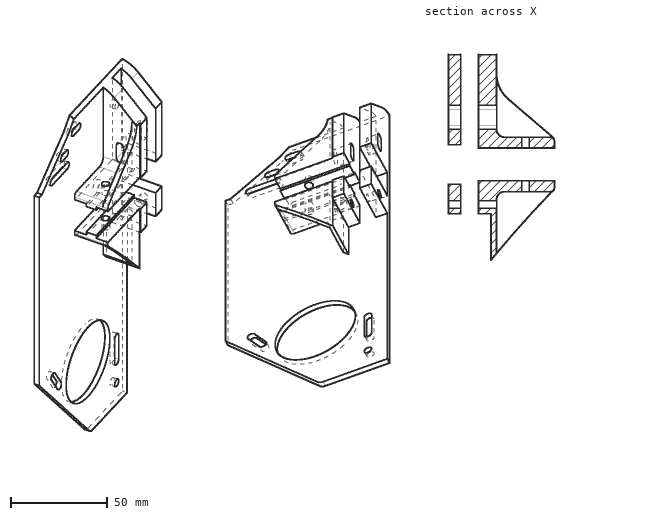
import cadquery as cq
import math


plate_thickness = 3.0
plate_depth = 91.84
plate_height = 218.47
top_edge_depth = 55.0
upper_kink_depth = 61.2
upper_kink_z = -6.8
nose_depth = 88.9
nose_z = -28.0
lower_slope_z = -151.7
bottom_edge_depth = 38.3
bottom_corner_radius = 4.0

screw_diameter = 4.2
pivot_diameter = 6.5
pivot_depth = 27.5
pivot_z = -64.5
port_diameter = 45.5
port_depth = 40.9
port_z = -170.6

rib_reach = 23.67
rib_width = 6.5
groove_width = 9.0
inner_rib_depth = rib_width + groove_width
groove_center_depth = rib_width + groove_width / 2
crown_radius = 18.2
crown_start_angle = 11.0
crown_end_angle = 45.0

screw_hole_levels = (-21.9, -204.6)
plate_slot_ends = (
    ((48.6, -9.5), (58.0, -9.5)),
    ((61.4, -18.5), (69.4, -18.5)),
    ((60.5, -27.0), (80.3, -27.0)),
    ((78.3, -153.9), (69.6, -168.0)),
    ((groove_center_depth, -172.6), (groove_center_depth, -192.5)),
)

bracket_reach = 23.0
cheek_thickness = 3.0
wall_back_depth = inner_rib_depth + rib_width
wall_thickness = 3.0
wall_front_depth = wall_back_depth + wall_thickness
shelf_thickness = 4.0
shelf_front_depth = 55.0
shelf_inner_radius = 4.0
shelf_nose_radius = 2.2

upper_shelf_bottom_z = -54.3
upper_cheek_root_z = -25.4
upper_cheek_root_radius = 17.0
upper_cheek_corner_z = -51.1
upper_cheek_corner_radius = 3.0

lower_shelf_top_z = -74.7
lower_rib_bottom_z = -90.2
lower_wall_front_bottom_z = -110.6
lower_wall_bottom_z = -114.2
lower_cheek_sag = 0.4
lower_cheek_start_angle = 60.0

fastener_x = (plate_thickness + bracket_reach) / 2
ridge_width = 6.0
ridge_height = 1.8
shelf_hole_depth = (wall_front_depth + shelf_front_depth) / 2
wall_slot_top_z = -33.7
wall_slot_bottom_z = -46.4
wall_hole_z = -85.3


def side_prism(points, start_x, end_x):
    """Extrude an outline of (depth, z) points along X."""
    outline = [(-depth, z) for depth, z in points]
    return cq.Workplane("YZ", origin=(start_x, 0, 0)).polyline(outline).close().extrude(end_x - start_x)


def plate_hole(diameter, depth, z):
    """Cutter for a round hole through the plate."""
    return cq.Workplane("YZ", origin=(0, -depth, z)).circle(diameter / 2).extrude(plate_thickness)


def plate_slot(first, second):
    """Cutter for a slot through the plate whose extreme ends are (depth, z) points."""
    run_y = first[0] - second[0]
    run_z = second[1] - first[1]
    middle = (0, -(first[0] + second[0]) / 2, (first[1] + second[1]) / 2)
    return (
        cq.Workplane("YZ", origin=middle)
        .slot2D(math.hypot(run_y, run_z), screw_diameter, math.degrees(math.atan2(run_z, run_y)))
        .extrude(plate_thickness)
    )


def make_plate():
    """Flat plate with its outline, holes and slots."""
    outline = [
        (0, 0),
        (top_edge_depth, 0),
        (upper_kink_depth, upper_kink_z),
        (nose_depth, nose_z),
        (plate_depth, nose_z),
        (plate_depth, lower_slope_z),
        (bottom_edge_depth, -plate_height),
        (0, -plate_height),
    ]
    plate = side_prism(outline, 0, plate_thickness)
    bottom_corner = cq.selectors.NearestToPointSelector(
        (plate_thickness / 2, -bottom_edge_depth, -plate_height)
    )
    plate = plate.edges("|X").edges(bottom_corner).fillet(bottom_corner_radius)

    plate = plate.cut(plate_hole(pivot_diameter, pivot_depth, pivot_z))
    plate = plate.cut(plate_hole(port_diameter, port_depth, port_z))
    for hole_z in screw_hole_levels:
        plate = plate.cut(plate_hole(screw_diameter, groove_center_depth, hole_z))
    for first, second in plate_slot_ends:
        plate = plate.cut(plate_slot(first, second))
    return plate


def crown_prism():
    """Envelope whose top rolls over in an arc from the plate's face into a straight slope."""

    def arc_point(degrees):
        start = math.radians(crown_start_angle)
        angle = math.radians(degrees)
        x = crown_radius * (math.sin(angle) - math.sin(start))
        z = crown_radius * (math.cos(angle) - math.cos(start))
        return x, z

    arc_middle = arc_point((crown_start_angle + crown_end_angle) / 2)
    arc_end_x, arc_end_z = arc_point(crown_end_angle)
    slope_end_z = arc_end_z - (rib_reach - arc_end_x) * math.tan(math.radians(crown_end_angle))
    return (
        cq.Workplane("XZ")
        .moveTo(0, 0)
        .threePointArc(arc_middle, (arc_end_x, arc_end_z))
        .lineTo(rib_reach, slope_end_z)
        .lineTo(rib_reach, -plate_height)
        .lineTo(0, -plate_height)
        .close()
        .extrude(plate_depth)
    )


def rib_pair(bottom_z, top_z):
    """Ribs of one bracket, standing on either side of the groove."""
    ribs = cq.Workplane("XY")
    for back_depth in (0, inner_rib_depth):
        corner = (0, -back_depth - rib_width, bottom_z)
        rib = cq.Workplane("XY", origin=corner).box(
            rib_reach, rib_width, top_z - bottom_z, centered=False
        )
        ribs = ribs.add(rib)
    return ribs.combine()


def round_shelf(bracket, inner_z):
    """Round the corner where wall meets shelf, and the front edge of the shelf.

    inner_z is the height of the shelf face on the wall's side.
    """
    inner_corner = cq.selectors.NearestToPointSelector((bracket_reach / 2, -wall_front_depth, inner_z))
    front_edge = cq.selectors.NearestToPointSelector((bracket_reach / 2, -shelf_front_depth, inner_z))
    bracket = bracket.edges("|X").edges(inner_corner).fillet(shelf_inner_radius)
    return bracket.edges("|X").edges(front_edge).fillet(shelf_nose_radius)


def make_ridge(bottom_z):
    """Ridge along the shelf, from the groove to the front edge."""
    return (
        cq.Workplane("XY", origin=(fastener_x - ridge_width / 2, -shelf_front_depth, bottom_z))
        .box(ridge_width, shelf_front_depth - inner_rib_depth, ridge_height, centered=False)
    )


def x_edge_near(depth, z):
    """Selector for the edge nearest to a corner on the middle plane of the cheeks."""
    return cq.selectors.NearestToPointSelector((bracket_reach - cheek_thickness / 2, -depth, z))


def make_upper_cheek():
    """Outer wall above the upper shelf, sweeping out of the back wall in a concave arc."""
    outline = [
        (wall_back_depth, 0),
        (wall_front_depth, 0),
        (wall_front_depth, upper_cheek_root_z),
        (shelf_front_depth, upper_cheek_corner_z),
        (shelf_front_depth, upper_shelf_bottom_z),
        (wall_back_depth, upper_shelf_bottom_z),
    ]
    cheek = side_prism(outline, bracket_reach - cheek_thickness, bracket_reach)
    root = x_edge_near(wall_front_depth, upper_cheek_root_z)
    corner = x_edge_near(shelf_front_depth, upper_cheek_corner_z)
    cheek = cheek.edges("|X").edges(root).fillet(upper_cheek_root_radius)
    return cheek.edges("|X").edges(corner).fillet(upper_cheek_corner_radius)


def make_lower_cheek():
    """Outer wall below the lower shelf, slightly hollow along its sloping edge."""
    nose_center_depth = shelf_front_depth - shelf_nose_radius
    nose_center_z = lower_shelf_top_z - shelf_thickness + shelf_nose_radius
    start_angle = math.radians(lower_cheek_start_angle)
    start_depth = nose_center_depth + shelf_nose_radius * math.cos(start_angle)
    start_z = nose_center_z - shelf_nose_radius * math.sin(start_angle)
    return (
        cq.Workplane("YZ", origin=(bracket_reach - cheek_thickness, 0, 0))
        .moveTo(-wall_back_depth, nose_center_z)
        .lineTo(-nose_center_depth, nose_center_z)
        .lineTo(-start_depth, start_z)
        .sagittaArc((-wall_front_depth, lower_wall_front_bottom_z), lower_cheek_sag)
        .lineTo(-wall_back_depth, lower_wall_bottom_z)
        .close()
        .extrude(cheek_thickness)
    )


def make_upper_bracket():
    """Wall, shelf, cheek, ribs and ridge; the top is trimmed later by the crown."""
    shelf_top_z = upper_shelf_bottom_z + shelf_thickness
    section = [
        (wall_back_depth, 0),
        (wall_front_depth, 0),
        (wall_front_depth, shelf_top_z),
        (shelf_front_depth, shelf_top_z),
        (shelf_front_depth, upper_shelf_bottom_z),
        (wall_back_depth, upper_shelf_bottom_z),
    ]
    bracket = round_shelf(side_prism(section, 0, bracket_reach), shelf_top_z)
    bracket = bracket.union(make_upper_cheek())
    bracket = bracket.union(rib_pair(upper_shelf_bottom_z, 0))
    return bracket.union(make_ridge(upper_shelf_bottom_z - ridge_height))


def make_lower_bracket():
    """Shelf facing the upper one, with wall, cheek, ribs and ridge below it."""
    shelf_bottom_z = lower_shelf_top_z - shelf_thickness
    section = [
        (wall_back_depth, lower_shelf_top_z),
        (shelf_front_depth, lower_shelf_top_z),
        (shelf_front_depth, shelf_bottom_z),
        (wall_front_depth, shelf_bottom_z),
        (wall_front_depth, lower_wall_front_bottom_z),
        (wall_back_depth, lower_wall_bottom_z),
    ]
    bracket = round_shelf(side_prism(section, 0, bracket_reach), shelf_bottom_z)
    bracket = bracket.union(make_lower_cheek())
    bracket = bracket.union(rib_pair(lower_rib_bottom_z, lower_shelf_top_z))
    return bracket.union(make_ridge(lower_shelf_top_z))


def fastener_openings():
    """Vertical hole through both shelves; slot and hole through ribs and walls."""
    shelf_hole = (
        cq.Workplane("XY", origin=(fastener_x, -shelf_hole_depth, -plate_height))
        .circle(screw_diameter / 2)
        .extrude(plate_height)
    )
    slot_middle_z = (wall_slot_top_z + wall_slot_bottom_z) / 2
    wall_slot = (
        cq.Workplane("XZ", origin=(fastener_x, 0, slot_middle_z))
        .slot2D(wall_slot_top_z - wall_slot_bottom_z, screw_diameter, 90)
        .extrude(plate_depth)
    )
    wall_hole = (
        cq.Workplane("XZ", origin=(fastener_x, 0, wall_hole_z))
        .circle(screw_diameter / 2)
        .extrude(plate_depth)
    )
    return shelf_hole.union(wall_slot).union(wall_hole)


brackets = make_upper_bracket().union(make_lower_bracket()).cut(fastener_openings())
result = make_plate().union(brackets).intersect(crown_prism())